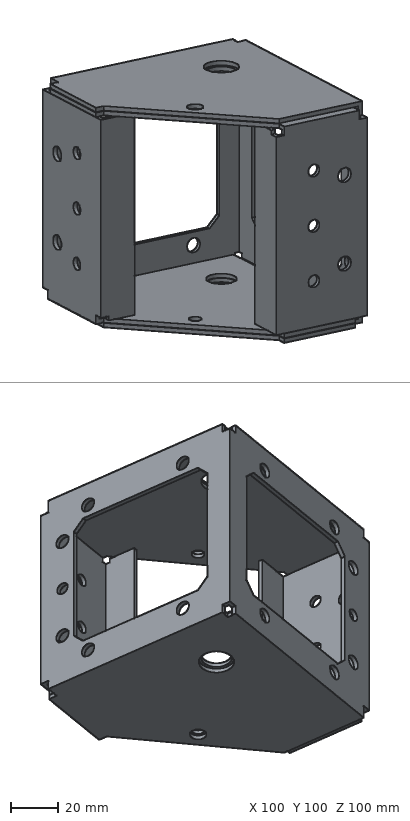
import cadquery as cq

SIZE = 100.0
MID = SIZE / 2
SHEET = 2.0
SHEET_GAP = 0.25
SEAM_GAP = 0.1
RELIEF = 2 * SHEET
INNER_START = SHEET + SHEET_GAP
INNER_END = INNER_START + SHEET
SEAM_END = INNER_END + SEAM_GAP
INNER_RELIEF = INNER_END + SHEET
PLATE_RELIEF = 3 * SHEET

FRONT_WIDTH = 46.0
LIP_DEPTH = 17.0
BEND_START = FRONT_WIDTH - RELIEF

WINDOW_Y = (17.5, 88.0)
WINDOW_Z = (17.5, 82.5)
WINDOW_CHAMFER = 5.0

BOLT_DIAMETER = 6.5
PIN_DIAMETER = 5.5
BOLT_SPACING = 50.0
BOLT_EDGE = 11.5
FRONT_BOLT_SPACING = 40.0
FRONT_PIN_X = 27.0
CABLE_OFFSET = 27.0
CABLE_OUTER_DIAMETER = 15.0
CABLE_INNER_DIAMETER = 13.0
SCREW_OFFSET = 63.8
SCREW_OUTER_DIAMETER = 7.0
SCREW_INNER_DIAMETER = 5.4


def block(x, y, z):
    """Box spanning the given (start, end) ranges."""
    sizes = (x[1] - x[0], y[1] - y[0], z[1] - z[0])
    return cq.Workplane("XY").box(*sizes, centered=False).translate((x[0], y[0], z[0]))


def half_turn(body):
    """Swap left with back, front with right and top with bottom."""
    return body.rotate((MID, MID, MID), (MID + 1, MID - 1, MID), 180)


def plate(points, bottom, cable_diameter, screw_diameter):
    """Flat horizontal sheet with its cable hole and screw hole."""
    base = cq.Workplane("XY").workplane(offset=bottom)
    sheet = base.polyline(points).close().extrude(SHEET)
    for offset, diameter in ((CABLE_OFFSET, cable_diameter), (SCREW_OFFSET, screw_diameter)):
        hole = base.center(offset, SIZE - offset).circle(diameter / 2).extrude(SHEET)
        sheet = sheet.cut(hole)
    return sheet


def outer_top():
    """Outer top sheet, folded from the left wall."""
    back_relief = RELIEF + SHEET_GAP
    return plate(
        [
            (0, RELIEF),
            (PLATE_RELIEF, RELIEF),
            (PLATE_RELIEF, 0),
            (BEND_START, 0),
            (BEND_START, RELIEF),
            (SIZE - RELIEF, SIZE - BEND_START),
            (SIZE - RELIEF, SIZE),
            (back_relief, SIZE),
            (back_relief, SIZE - back_relief),
            (0, SIZE - back_relief),
        ],
        SIZE - SHEET,
        CABLE_OUTER_DIAMETER,
        SCREW_OUTER_DIAMETER,
    )


def inner_top():
    """Inner top sheet, folded from the right wall."""
    return plate(
        [
            (PLATE_RELIEF, 0),
            (BEND_START, 0),
            (BEND_START, RELIEF),
            (SIZE - RELIEF, SIZE - BEND_START),
            (SIZE, SIZE - BEND_START),
            (SIZE, SIZE - RELIEF),
            (PLATE_RELIEF, SIZE - RELIEF),
        ],
        SIZE - INNER_END,
        CABLE_INNER_DIAMETER,
        SCREW_INNER_DIAMETER,
    )


def drill(wall, plane, points, diameter):
    """Drill holes through one sheet lying on the given face plane."""
    depth = SHEET if plane == "YZ" else -SHEET
    return wall.cut(cq.Workplane(plane).pushPoints(points).circle(diameter / 2).extrude(depth))


def left_wall():
    """Square left wall with a large chamfered window."""
    wall_x = (0, SHEET)
    wall = block(wall_x, (0, SIZE), (0, SIZE))
    window = block(wall_x, WINDOW_Y, WINDOW_Z).edges("|X").chamfer(WINDOW_CHAMFER)
    wall = wall.cut(window)

    front = (0, RELIEF)
    back = (SIZE - RELIEF, SIZE)
    wall = wall.cut(block(wall_x, front, (0, INNER_RELIEF)))
    wall = wall.cut(block(wall_x, front, (SIZE - SEAM_END, SIZE)))
    wall = wall.cut(block(wall_x, back, (0, RELIEF)))
    wall = wall.cut(block(wall_x, back, (SIZE - RELIEF, SIZE)))

    spread = (MID - BOLT_SPACING / 2, MID + BOLT_SPACING / 2)
    bolts = [(y, z) for y in spread for z in (BOLT_EDGE, SIZE - BOLT_EDGE)]
    bolts += [(BOLT_EDGE, z) for z in spread]
    wall = drill(wall, "YZ", bolts, BOLT_DIAMETER)
    return drill(wall, "YZ", [(BOLT_EDGE, MID)], PIN_DIAMETER)


def front_wall():
    """Narrow front wall with a lip folded inward along its free edge."""
    height = (INNER_START, SIZE - SEAM_END)
    wall = block((0, FRONT_WIDTH), (0, SHEET), height)
    lip = block((FRONT_WIDTH - SHEET, FRONT_WIDTH), (0, LIP_DEPTH), (SEAM_END, SIZE - SEAM_END))
    wall = wall.union(lip)

    for start in (0, BEND_START):
        wall = wall.cut(block((start, start + RELIEF), (0, RELIEF), (0, INNER_RELIEF)))

    bolts = [(BOLT_EDGE, MID + side * FRONT_BOLT_SPACING / 2) for side in (-1, 1)]
    pins = [(FRONT_PIN_X, MID + step * BOLT_SPACING / 2) for step in (-1, 0, 1)]
    wall = drill(wall, "XZ", bolts, BOLT_DIAMETER)
    return drill(wall, "XZ", pins, PIN_DIAMETER)


half = left_wall().union(front_wall()).union(outer_top()).union(inner_top())
result = half.union(half_turn(half))